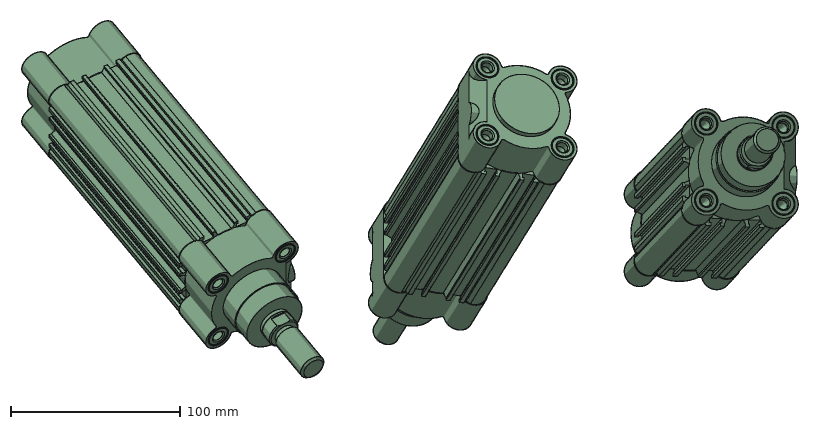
import cadquery as cq
import math

rear_boss_length = 3.5
cap_length = 30.0
tube_length = 146.2
wide_collar_length = 13.0
narrow_collar_length = 12.0
overall_length = 279.0

rear_cap_start = rear_boss_length
tube_start = rear_cap_start + cap_length
tube_end = tube_start + tube_length
front_cap_end = tube_end + cap_length
wide_collar_end = front_cap_end + wide_collar_length
rod_start = wide_collar_end + narrow_collar_length

cap_width = 64.5
half_width = cap_width / 2
lug_radius = 9.0
lug_center = half_width - lug_radius
cap_core_radius = 28.2
lug_blend_radius = 1.0
port_chamfer_height = 8.6
port_chamfer_length = 8.0
port_boss_radius = 9.0
port_boss_x = 12.5
port_boss_z = -5.9
boss_radius = 20.0
narrow_collar_radius = 19.3

screw_ring_outer_radius = 7.0
screw_ring_width = 0.5
screw_ring_depth = 0.5
socket_radius = 3.3
socket_mouth_radius = 4.2
socket_depth = 5.5

tube_half_width = 31.8
tube_corner_radius = 8.6
barrel_radius = 27.5
slot_center = 11.7
slot_mouth_width = 5.9
slot_inner_width = 7.5
slot_floor = 27.3
lip_underside = 29.9
rib_tip_inner = 6.5
rib_root_inner = 4.7
rib_taper_start = 30.5
notch_start = 17.3
notch_root = 19.0
notch_end = 21.5
notch_depth = 1.7
cutter_clearance = 2.8

rod_radius = 10.0
rod_shoulder_radius = 9.8
rod_shoulder_length = 2.5
rod_body_end = 246.4
rod_body_chamfer = 0.8
flat_start = 239.0
flat_half_height = 9.0
neck_radius = 6.5
neck_end = 250.0
thread_radius = 8.0
thread_chamfer = 1.5


def disc(radius, start, end):
    """A cylinder along X between two stations."""
    return cq.Workplane("YZ", origin=(start, 0, 0)).circle(radius).extrude(end - start)


def lug_core_crossing():
    """Distances along one side and up from it where a lug circle crosses the core circle."""
    spacing = lug_center * math.sqrt(2)
    along = (cap_core_radius**2 - lug_radius**2 + spacing**2) / (2 * spacing)
    across = math.sqrt(cap_core_radius**2 - along**2)
    return (along - across) / math.sqrt(2), (along + across) / math.sqrt(2)


def blend_lugs(body):
    """Round the inside corners between the lugs and the core on the three round sides."""
    near, far = lug_core_crossing()
    corners = [(side * near, end * far) for side in (-1, 1) for end in (-1, 1)]
    corners += [(-far, side * near) for side in (-1, 1)]
    for y, z in corners:
        edge = cq.selectors.NearestToPointSelector((cap_length / 2, y, z))
        body = body.edges("|X").edges(edge).fillet(lug_blend_radius)
    return body


def screw_seat():
    """Two cutters for one lug: a shallow ring round the screw and its chamfered, pointed socket."""
    ring = (
        cq.Workplane("YZ")
        .circle(screw_ring_outer_radius)
        .circle(screw_ring_outer_radius - screw_ring_width)
        .extrude(screw_ring_depth)
    )
    mouth_depth = socket_mouth_radius - socket_radius
    socket = (
        cq.Workplane("XY")
        .moveTo(0, 0)
        .lineTo(0, socket_mouth_radius)
        .lineTo(mouth_depth, socket_radius)
        .lineTo(socket_depth, socket_radius)
        .lineTo(socket_depth + socket_radius, 0)
        .close()
        .revolve(360, (0, 0, 0), (1, 0, 0))
    )
    return ring, socket


def make_cap():
    """An end cap with its outer face at X = 0 and its tube face at X = cap_length."""
    port_block = cq.Workplane("XY").box(
        cap_length, half_width, 2 * lug_center, centered=(False, False, True)
    )
    core = disc(cap_core_radius, 0, cap_length).union(port_block)
    chamfer_cut = (
        cq.Workplane("XY")
        .moveTo(0, half_width)
        .lineTo(0, half_width - port_chamfer_height)
        .lineTo(port_chamfer_length, half_width)
        .close()
        .extrude(half_width, both=True)
    )
    port_boss = (
        cq.Workplane("XZ", origin=(port_boss_x, 0, port_boss_z))
        .circle(port_boss_radius)
        .extrude(-half_width)
    )
    lugs = (
        cq.Workplane("YZ")
        .rect(2 * lug_center, 2 * lug_center, forConstruction=True)
        .vertices()
        .circle(lug_radius)
        .extrude(cap_length)
    )
    cap = core.cut(chamfer_cut).union(lugs)
    cap = blend_lugs(cap).union(port_boss)
    for y in (-lug_center, lug_center):
        for z in (-lug_center, lug_center):
            for cutter in screw_seat():
                cap = cap.cut(cutter.translate((0, y, z)))
    return cap


def make_rear_cap():
    """The cap at the closed end, with a plain round boss on its outer face."""
    cap = make_cap().translate((rear_cap_start, 0, 0))
    return cap.union(disc(boss_radius, 0, rear_cap_start))


def make_front_cap():
    """The mirrored cap at the rod end, with a stepped collar round the rod axis."""
    cap = make_cap().mirror("YZ").translate((front_cap_end, 0, 0))
    cap = cap.union(disc(boss_radius, front_cap_end, wide_collar_end))
    return cap.union(disc(narrow_collar_radius, wide_collar_end, rod_start))


def tube_cutter(points):
    """A prism as long as the tube, from (sideways, outward) points on the top side."""
    return cq.Workplane("YZ", origin=(tube_start, 0, 0)).polyline(points).close().extrude(tube_length)


def tube_side_cutters():
    """Everything removed from the top side of the tube."""
    above = tube_half_width + cutter_clearance
    mouth = slot_mouth_width / 2
    inner = slot_inner_width / 2
    root_height = math.sqrt(barrel_radius**2 - rib_root_inner**2)

    channel = tube_cutter([
        (-rib_tip_inner, above),
        (-rib_tip_inner, rib_taper_start),
        (-rib_root_inner, root_height),
        (0, 0),
        (rib_root_inner, root_height),
        (rib_tip_inner, rib_taper_start),
        (rib_tip_inner, above),
    ]).cut(disc(barrel_radius, tube_start, tube_end))
    cutters = [channel]

    for side in (-1, 1):
        outline = [
            (slot_center - mouth, above),
            (slot_center - mouth, lip_underside),
            (slot_center - inner, lip_underside),
            (slot_center - inner, slot_floor),
            (slot_center + inner, slot_floor),
            (slot_center + inner, lip_underside),
            (slot_center + mouth, lip_underside),
            (slot_center + mouth, above),
        ]
        cutters.append(tube_cutter([(side * y, z) for y, z in outline]))
        notch = [
            (notch_start, tube_half_width),
            (notch_root, tube_half_width - notch_depth),
            (notch_end, tube_half_width),
        ]
        cutters.append(tube_cutter([(side * y, z) for y, z in notch]))
    return cutters


def make_tube():
    """The slotted tube between the caps, with the same profile on all four sides."""
    tube = (
        cq.Workplane("YZ", origin=(tube_start, 0, 0))
        .rect(2 * tube_half_width, 2 * tube_half_width)
        .extrude(tube_length)
        .edges("|X")
        .fillet(tube_corner_radius)
    )
    for quarter in range(4):
        for cutter in tube_side_cutters():
            tube = tube.cut(cutter.rotate((0, 0, 0), (1, 0, 0), 90 * quarter))
    return tube


def make_rod():
    """The rod outside the front cap: shoulder, body with wrench flats, neck and thread."""
    shoulder_end = rod_start + rod_shoulder_length
    body = disc(rod_radius, shoulder_end, rod_body_end).faces(">X").chamfer(rod_body_chamfer)
    flat_length = rod_body_end - flat_start
    for side in (-1, 1):
        flat_cut = cq.Workplane("XY").box(flat_length, 2 * rod_radius, rod_radius).translate(
            (flat_start + flat_length / 2, 0, side * (flat_half_height + rod_radius / 2))
        )
        body = body.cut(flat_cut)
    shoulder = disc(rod_shoulder_radius, rod_start, shoulder_end)
    neck = disc(neck_radius, rod_body_end, neck_end)
    thread = disc(thread_radius, neck_end, overall_length).faces(">X").chamfer(thread_chamfer)
    return shoulder.union(body).union(neck).union(thread)


rear_cap = make_rear_cap()
tube = make_tube()
front_cap = make_front_cap()
rod = make_rod()

result = cq.Compound.makeCompound([rear_cap.val(), tube.val(), front_cap.val(), rod.val()])